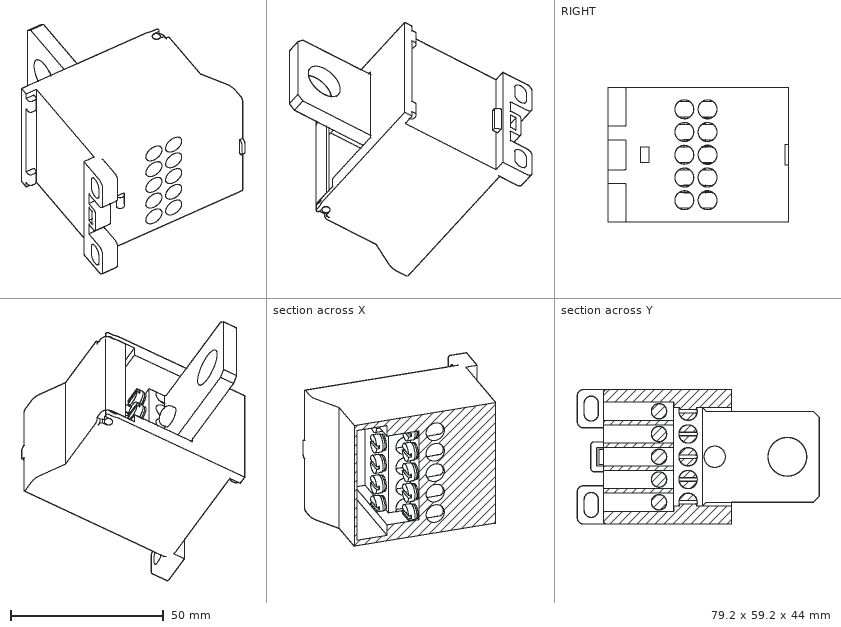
import cadquery as cq
import math


overall_length = 79.2
flange_end = 50.5

depth = 42.0
height = 53.3
total_height = 59.2
half_width = 22.0
base = 3.95
slope_start = 25.1
slope_angle = math.radians(30)
crest_radius = 7.9
corner_radius = 2.7
rear_edge_radius = 1.0
wall = 1.0

window_bottom = 19.95
window_step = 41.9
window_half_width = 16.1
cover_half_width = 19.9
cover_bottom = 45.2

hinge_x = 3.0
hinge_y = 50.0
pin_radius = 1.35
gap_end = 4.75
gap_floor = 52.2
gap_round = 1.1
lean_start = 48.15
lean_end = 49.7
lean = 0.3
pin_recess = 0.15
cheek_thickness = 1.0
seam_width = 0.15
seam_depth = 0.5

bar_reach = overall_length - flange_end
bar_thickness = 5.0
bar_half_width = 14.9
bar_corner = 2.0
bar_hole_diameter = 12.6
bar_hole_x = -18.2
bar_top = window_bottom + bar_thickness

tier_tops = (30.7, 38.3)
tier_fronts = (9.5, 19.0)
wire_hole_drop = 5.7
wire_hole_radius = 3.1
screw_setback = 4.75
screw_pitch = 7.45
screw_count = 5
shank_radius = 2.5
head_radius = 3.0
head_base_radius = 2.7
head_height = 3.5
head_base_height = 0.5
head_taper_height = 1.3
slot_width = 1.0
slot_depth = 1.0

bolt_x = 5.55
bolt_radius = 3.5
bolt_height = 3.1
bolt_edge_radius = 1.9

front_foot = 2.9
hook_top = 3.0
hook_reach = 2.1
hook_length = 5.1
hook_centre = 17.35
rear_foot = 38.9
latch_reach = 2.0
latch_nose = 2.05
latch_root = 0.9
latch_half_width = 4.9

flange_height = 6.0
flange_edge_radius = 0.5
ear_inner = 9.4
ear_radius = 2.05
slot_x = 45.9
slot_z = 15.8
ear_slot_width = 4.6
ear_slot_length = 8.1
tab_end = 46.1
tab_radius = 1.1
tab_window_depth = 2.1
tab_window_half_width = 3.0

nub_reach = 1.4
bead_y = 12.0
bead_half_width = 2.5
nib_thickness = 1.2
nib_half_width = 3.3
nib_corner_radius = 1.35


def box(x0, x1, y0, y1, z0, z1):
    return cq.Workplane("XY").box(x1 - x0, y1 - y0, z1 - z0, centered=False).translate((x0, y0, z0))


def slab(x0, x1, y0, y1, half):
    """Box centred on Z = 0."""
    return box(x0, x1, y0, y1, -half, half)


def extrude_z(points, half):
    """Closed XY outline extruded symmetrically about Z = 0."""
    return cq.Workplane("XY").polyline(points).close().extrude(half, both=True)


def extrude_y(points, y0, y1):
    """Closed XZ outline, given as (x, z), extruded from y0 to y1."""
    plane = cq.Plane(origin=(0, y0, 0), xDir=(1, 0, 0), normal=(0, -1, 0))
    return cq.Workplane(plane).polyline(points).close().extrude(y0 - y1)


def rod_y(x, z, radius, y0, y1):
    return cq.Workplane("XZ", origin=(x, y0, z)).circle(radius).extrude(y0 - y1)


def mirror_z(solid):
    return solid.union(solid.mirror("XY"))


def screw_positions():
    middle = (screw_count - 1) / 2
    return [(i - middle) * screw_pitch for i in range(screw_count)]


def housing():
    slope_end = slope_start + (total_height - height) / math.tan(slope_angle)
    body = extrude_z(
        [
            (0, base),
            (depth, base),
            (depth, total_height),
            (slope_end, total_height),
            (slope_start, height),
            (0, height),
        ],
        half_width,
    )
    body = body.edges(cq.NearestToPointSelector((slope_end, total_height, 0))).fillet(crest_radius)
    body = body.edges(cq.NearestToPointSelector((0, height, 0))).fillet(corner_radius)
    rear = body.faces(">X").edges("|Y")
    return rear.fillet(rear_edge_radius)


def cavity():
    ceiling = height - wall
    rise = total_height - height
    slope_shift = wall * math.tan(slope_angle / 2)
    knee = slope_start + slope_shift
    upper = extrude_z(
        [
            (wall, window_step),
            (depth - wall, window_step),
            (depth - wall, ceiling + rise),
            (knee + rise / math.tan(slope_angle), ceiling + rise),
            (knee, ceiling),
            (wall, ceiling),
        ],
        cover_half_width,
    )
    upper_window = slab(0, wall, window_step, cover_bottom, cover_half_width)
    lower = slab(0, depth - wall, window_bottom, window_step, window_half_width)
    return upper.union(upper_window).union(lower)


def hinge_gap():
    z0 = cover_half_width
    z1 = half_width
    thickness = z1 - z0
    post_right = hinge_x - pin_radius
    post_radius = (post_right - lean) / 2
    post_shoulder = gap_floor - post_radius
    gap = (
        cq.Workplane("XY", origin=(0, 0, z0))
        .moveTo(0, lean_start)
        .lineTo(lean, lean_end)
        .lineTo(lean, post_shoulder)
        .threePointArc((lean + post_radius, gap_floor), (post_right, post_shoulder))
        .lineTo(post_right, hinge_y)
        .lineTo(hinge_x + pin_radius, hinge_y)
        .lineTo(hinge_x + pin_radius, post_shoulder)
        .lineTo(gap_end, gap_floor)
        .lineTo(gap_end, height)
        .lineTo(0, height)
        .close()
        .extrude(thickness)
    )
    seat = cq.Workplane("XY", origin=(hinge_x, hinge_y, z0)).circle(pin_radius).extrude(thickness)
    pin = seat.translate((0, 0, -pin_recess))
    rounded = box(gap_end, gap_end + gap_round, gap_floor, height, z1 - gap_round, z1)
    rounded = rounded.cut(rod_y(gap_end + gap_round, z1 - gap_round, gap_round, gap_floor, height))
    return gap.union(seat).cut(pin).union(rounded)


def hinge_cheek():
    inner = cover_half_width - cheek_thickness
    return box(0, gap_end + gap_round, cover_bottom, height, inner, cover_half_width)


def cover_seam():
    inner = cover_half_width - seam_width
    return box(0, seam_depth, cover_bottom, height - corner_radius, inner, cover_half_width)


def busbar():
    tier = tier_fronts[0]
    flare_start = tier - (window_half_width - bar_half_width)
    side = [
        (-bar_reach, bar_half_width - bar_corner),
        (-bar_reach + bar_corner, bar_half_width),
        (flare_start, bar_half_width),
        (tier, window_half_width),
    ]
    outline = side + [(x, -z) for x, z in reversed(side)]
    bar = extrude_y(outline, window_bottom, bar_top)
    bar = bar.cut(rod_y(bar_hole_x, 0, bar_hole_diameter / 2, window_bottom, bar_top))
    bolt = rod_y(bolt_x, 0, bolt_radius, bar_top, bar_top + bolt_height)
    return bar.union(bolt.faces(">Y").edges().fillet(bolt_edge_radius))


def screw_head():
    """Slotted head standing on Y = 0, slot running along X."""
    head = (
        cq.Workplane("XY")
        .polyline(
            [
                (0, 0),
                (head_base_radius, 0),
                (head_base_radius, head_base_height),
                (head_radius, head_taper_height),
                (head_radius, head_height),
                (0, head_height),
            ]
        )
        .close()
        .revolve(360, (0, 0), (0, 1))
    )
    return head.cut(
        slab(-head_radius, head_radius, head_height - slot_depth, head_height, slot_width / 2)
    )


def terminal_block():
    block = None
    for front, top in zip(tier_fronts, tier_tops):
        tier = slab(front, depth - wall, window_bottom, top, window_half_width)
        block = tier if block is None else block.union(tier)
    return block


def wire_holes():
    """Bores along X, each interrupted by the shank of its clamping screw."""
    holes = cq.Workplane("XY")
    for front, top in zip(tier_fronts, tier_tops):
        axis = top - wire_hole_drop
        for z in screw_positions():
            bore = cq.Workplane("YZ", origin=(front, axis, z)).circle(wire_hole_radius).extrude(depth - front)
            for screw_front in tier_fronts:
                shank = rod_y(screw_front + screw_setback, z, shank_radius, window_bottom, top)
                bore = bore.cut(shank)
            holes = holes.add(bore)
    return holes.combine()


def screws():
    room = slab(0, depth, window_bottom, height, window_half_width)
    heads = cq.Workplane("XY")
    for front, top in zip(tier_fronts, tier_tops):
        for z in screw_positions():
            heads = heads.add(screw_head().translate((front + screw_setback, top, z)))
    return heads.combine().intersect(room)


def front_feet():
    foot = slab(0, front_foot, 0, base, half_width)
    hook = box(
        front_foot,
        front_foot + hook_reach,
        0,
        hook_top,
        hook_centre - hook_length / 2,
        hook_centre + hook_length / 2,
    )
    hook = hook.edges(">X and |Z").fillet(hook_reach / 2)
    return foot.union(mirror_z(hook))


def rear_flange():
    ears = slab(rear_foot, flange_end, 0, flange_height, half_width)
    ears = ears.cut(slab(depth, flange_end, 0, flange_height, ear_inner))
    ears = ears.edges(">X and |Y").fillet(ear_radius)
    ears = ears.faces(">Y").edges("not <X").fillet(flange_edge_radius)
    for side in (-1, 1):
        slot = (
            cq.Workplane("XZ", origin=(slot_x, flange_height, side * slot_z))
            .slot2D(ear_slot_length, ear_slot_width, 90)
            .extrude(flange_height)
        )
        ears = ears.cut(slot)

    tab = slab(depth, tab_end, 0, flange_height, latch_half_width)
    tab = tab.edges(">X and |Y").fillet(tab_radius)
    tab = tab.faces(">Y").edges("not <X").fillet(flange_edge_radius)
    tab = tab.cut(slab(depth, depth + tab_window_depth, 0, flange_height, tab_window_half_width))

    latch = extrude_z(
        [
            (rear_foot, latch_root),
            (rear_foot, hook_top),
            (rear_foot - latch_reach, hook_top),
            (rear_foot - latch_reach, latch_nose),
        ],
        latch_half_width,
    )
    return ears.union(tab).union(latch)


def rear_details():
    bead = cq.Workplane("XY").center(depth, bead_y).circle(nub_reach).extrude(bead_half_width, both=True)
    bead = bead.intersect(
        slab(depth - wall, depth + nub_reach, bead_y - nub_reach, bead_y + nub_reach, bead_half_width)
    )
    nib = slab(depth, depth + nub_reach, total_height - nib_thickness, total_height, nib_half_width)
    nib = nib.edges(">X and |Y").fillet(nib_corner_radius)
    return bead.union(nib)


result = (
    housing()
    .cut(cavity().cut(mirror_z(hinge_cheek())))
    .cut(mirror_z(cover_seam()))
    .cut(mirror_z(hinge_gap()))
    .union(front_feet())
    .union(rear_flange())
    .union(rear_details())
    .union(terminal_block())
    .cut(wire_holes())
    .union(screws())
    .union(busbar())
)